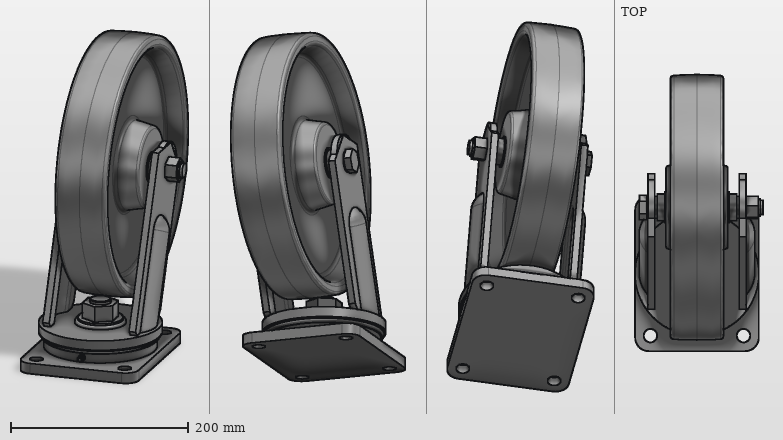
import cadquery as cq
import math


plate_width = 140.0
plate_length = 175.0
plate_thickness = 12.5
plate_corner_radius = 15.5
plate_hole_diameter = 15.0
plate_hole_spacing_x = 105.0
plate_hole_spacing_y = 140.0

raceway_radius = 64.3
raceway_top = 23.5
seal_top_radius = 67.8
seal_bottom_radius = 65.5
seal_bulge_radius = 67.5
seal_lip_radius = 69.0
seal_lip_height = 1.5
seal_top = 29.0

nipple_height = 18.0
nipple_collar_diameter = 7
nipple_collar_tip = 66.7
nipple_neck_diameter = 4.3
nipple_head_diameter = 6.0
nipple_head_length = 4.5
nipple_head_chamfer = 1.0
nipple_tip = 73.5

disc_radius = 70.0
disc_top = 40.5

king_collar_diameter = 58.2
king_collar_height = 4.0
king_collar_fillet = 3.0
king_washer_diameter = 51.5
king_washer_height = 2.0
king_nut_flats = 36.0
king_nut_height = 18.0
king_bolt_diameter = 24.0
king_bolt_chamfer = 0.9
king_bolt_end = 68.5

overall_height = 355
wheel_diameter = 300.0
wheel_radius = wheel_diameter / 2
axle_y = 75.0
axle_z = overall_height - wheel_radius
axle_diameter = 16.5

leg_inner_x = 47.5
leg_thickness = 7.8
leg_outer_x = leg_inner_x + leg_thickness
leg_tilt = 23.5
leg_half_width = 40.0
leg_foot_y = 1.5
leg_top = 233.5
leg_shoulder_z = 196.3
leg_nose_y = 85.5
leg_foot_chamfer_height = 5.7
leg_foot_front_inset = 5.0
leg_foot_back_inset = 7.5

boss_diameter = 62.0
boss_thickness = 7.5

rib_outer_x = 65.3
rib_radius = 32
rib_wall = leg_thickness
rib_dome_z = 140.0
rib_dome_length = 26.0
rib_mouth_fillet = 7

bolt_hex_flats = 24.0
bolt_head_height = 8.5
bolt_flange_height = 1.0
axle_nut_height = 14.0
axle_nut_rotation = 23.5
nut_collar_diameter = 20.0
nut_collar_height = 2.0
axle_end_x = 74.5

tread_width = 60.0
tread_half_width = tread_width / 2
tread_crown = 1.5
tread_fillet = 4.0
rim_edge_radius = 136.0
rim_root_radius = 126.5
rim_fillet = 5.0
web_half_thickness = 7.8
hub_width = 70.0
hub_half_width = hub_width / 2
hub_end_radius = 46.5
hub_root_radius = 52.2
hub_root_fillet = 5.0
hub_end_fillet = 3.2
shoulder_diameter = 35.0
shoulder_end_x = 36.2
spacer_diameter = 30.0
spacer_end_x = 45.0
spacer_tip_diameter = 25


def rod_z(diameter, bottom, top):
    """Round rod on the swivel axis."""
    return cq.Workplane("XY").workplane(offset=bottom).circle(diameter / 2).extrude(top - bottom)


def rod_x(diameter, start, end):
    """Round rod on the wheel axle."""
    return cq.Workplane("YZ", origin=(start, axle_y, axle_z)).circle(diameter / 2).extrude(end - start)


def hexagon_corner_diameter(flats):
    """Diameter across the corners of a hexagon, from its width across the flats."""
    return flats / math.cos(math.radians(30))


def hexagon_x(flats, start, length, rotation=0.0):
    """Hexagonal prism on the wheel axle, with two corners on the Y direction before rotation."""
    plane = cq.Workplane("YZ", origin=(start, axle_y, axle_z)).transformed(rotate=(0, 0, rotation))
    return plane.polygon(6, hexagon_corner_diameter(flats)).extrude(length)


def mirrored_pair(shape):
    """The shape joined with its mirror image across the YZ plane."""
    return shape.union(shape.mirror("YZ"))


def make_seal():
    """Ring between the raceway and the fork, with a rounded flank under a thin lip."""
    lip_bottom = seal_top - seal_lip_height
    middle = (raceway_top + lip_bottom) / 2
    profile = cq.Workplane("XZ").moveTo(0, raceway_top).lineTo(seal_bottom_radius, raceway_top)
    profile = profile.threePointArc((seal_bulge_radius, middle), (seal_top_radius, lip_bottom))
    seal = profile.lineTo(0, lip_bottom).close().revolve(360, (0, 0, 0), (0, 1, 0))
    return seal.union(rod_z(2 * seal_lip_radius, lip_bottom, seal_top))


def make_nipple():
    """Stepped grease nipple pointing to -Y."""
    axis = cq.Workplane("XZ", origin=(0, 0, nipple_height))
    collar = axis.circle(nipple_collar_diameter / 2).extrude(nipple_collar_tip)
    neck = axis.circle(nipple_neck_diameter / 2).extrude(nipple_tip)
    head = axis.workplane(offset=nipple_tip - nipple_head_length)
    head = head.circle(nipple_head_diameter / 2).extrude(nipple_head_length)
    head = head.faces("<Y").edges().chamfer(nipple_head_chamfer)
    return collar.union(neck).union(head)


def make_base():
    """Mounting plate with its raceway, seal and grease nipple."""
    plate = cq.Workplane("XY").box(plate_width, plate_length, plate_thickness, centered=(True, True, False))
    plate = plate.edges("|Z").fillet(plate_corner_radius)
    holes = cq.Workplane("XY").rarray(plate_hole_spacing_x, plate_hole_spacing_y, 2, 2)
    plate = plate.cut(holes.circle(plate_hole_diameter / 2).extrude(plate_thickness))

    raceway = rod_z(2 * raceway_radius, plate_thickness, raceway_top)
    return plate.union(raceway).union(make_seal()).union(make_nipple())


def make_king_bolt():
    """Collar, washer, nut and bolt end on top of the swivel disc."""
    collar_top = disc_top + king_collar_height
    washer_top = collar_top + king_washer_height
    collar = rod_z(king_collar_diameter, disc_top, collar_top).faces(">Z").edges().fillet(king_collar_fillet)
    washer = rod_z(king_washer_diameter, collar_top, washer_top)
    nut = cq.Workplane("XY").workplane(offset=washer_top).transformed(rotate=(0, 0, 90))
    nut = nut.polygon(6, hexagon_corner_diameter(king_nut_flats)).extrude(king_nut_height)
    bolt = rod_z(king_bolt_diameter, washer_top, king_bolt_end).faces(">Z").edges().chamfer(king_bolt_chamfer)
    return collar.union(washer).union(nut).union(bolt)


def leg_centre_y(z):
    """Y of the tilted centre line of a leg at height z."""
    return leg_foot_y + (z - disc_top) * math.tan(math.radians(leg_tilt))


def rib_solid(inset):
    """Tilted round bar with a domed upper end, shrunk by an inset; it starts below the disc's top."""
    radius = rib_radius - inset
    dome_length = rib_dome_length - inset
    tilt = math.radians(leg_tilt)
    foot_length = (rib_dome_z - seal_top) / math.cos(tilt)
    dome_centre = (rib_outer_x - rib_radius, leg_centre_y(rib_dome_z), rib_dome_z)
    plane = cq.Plane(dome_centre, xDir=(1, 0, 0), normal=(0, -math.cos(tilt), math.sin(tilt)))
    profile = cq.Workplane(plane).moveTo(0, -foot_length).lineTo(radius, -foot_length).lineTo(radius, 0)
    profile = profile.ellipseArc(radius, dome_length, 0, 90, sense=1).close()
    return profile.revolve(360, (0, 0, 0), (0, 1, 0))


def is_mouth_edge(edge):
    """Whether an edge of the leg's inner face bounds the hollow of the rib."""
    centre = edge.Center()
    beside_axis = abs(centre.y - leg_centre_y(centre.z)) < rib_radius
    return beside_axis and disc_top + leg_foot_chamfer_height < centre.z < rib_dome_z + rib_dome_length


def make_leg():
    """The +X leg: a tilted plate with an axle boss and a hollow pressed rib."""
    edge_offset = leg_half_width / math.cos(math.radians(leg_tilt))
    chamfer_z = disc_top + leg_foot_chamfer_height
    foot_front_y = leg_centre_y(chamfer_z) - edge_offset
    foot_back_y = leg_centre_y(chamfer_z) + edge_offset
    outline = [
        (foot_front_y + leg_foot_front_inset, disc_top),
        (foot_front_y, chamfer_z),
        (leg_centre_y(leg_top) - edge_offset, leg_top),
        (leg_nose_y, leg_top),
        (leg_centre_y(leg_shoulder_z) + edge_offset, leg_shoulder_z),
        (foot_back_y, chamfer_z),
        (foot_back_y - leg_foot_back_inset, disc_top),
    ]
    plate = cq.Workplane("YZ", origin=(leg_inner_x, 0, 0)).polyline(outline).close().extrude(leg_thickness)
    boss = rod_x(boss_diameter, leg_inner_x, leg_inner_x + boss_thickness)

    rib_space = cq.Workplane("XY", origin=(leg_inner_x, 0, disc_top))
    rib_space = rib_space.box(rib_radius, 2 * wheel_radius, wheel_radius, centered=(False, True, False))
    rib = rib_solid(0).intersect(rib_space)
    hollow = rib_solid(rib_wall).intersect(rib_space)
    leg = plate.union(rib).cut(hollow)

    mouth = [edge for edge in leg.faces("<X").edges().vals() if is_mouth_edge(edge)]
    return leg.newObject(mouth).fillet(rib_mouth_fillet).union(boss)


def make_axle():
    """Axle bolt through the wheel, with its head at -X and its nut at +X."""
    nut_end_x = leg_outer_x + axle_nut_height
    axle = rod_x(axle_diameter, -leg_outer_x, axle_end_x)
    flange_end_x = -leg_outer_x - bolt_flange_height
    flange = rod_x(bolt_hex_flats, flange_end_x, -leg_outer_x)
    head = hexagon_x(bolt_hex_flats, flange_end_x - bolt_head_height, bolt_head_height)
    nut = hexagon_x(bolt_hex_flats, leg_outer_x, axle_nut_height, axle_nut_rotation)
    collar = rod_x(nut_collar_diameter, nut_end_x, nut_end_x + nut_collar_height)
    return axle.union(flange).union(head).union(nut).union(collar)


def make_fork():
    """Swivel disc with both legs, the king bolt and the axle."""
    disc = rod_z(2 * disc_radius, seal_top, disc_top)
    return disc.union(mirrored_pair(make_leg())).union(make_king_bolt()).union(make_axle())


def is_ring(edge, x, radius):
    """Whether an edge is the full circle at this x and radius around the axle."""
    tolerance = 0.0005
    same_place = abs(edge.Center().x - x) < tolerance
    return edge.geomType() == "CIRCLE" and same_place and abs(edge.radius() - radius) < tolerance


def fillet_ring(shape, x, radius, fillet):
    """Round the circular edge at this x and radius."""
    rings = [edge for edge in shape.edges().vals() if is_ring(edge, x, radius)]
    return shape.newObject(rings).fillet(fillet)


def make_wheel():
    """Wheel with crowned tread, thin web, hub and stepped spacers, bored for the axle."""
    tread_edge_radius = wheel_radius - tread_crown
    profile = cq.Workplane("XY").moveTo(0, wheel_radius)
    profile = profile.threePointArc(
        (tread_half_width / 2, wheel_radius - tread_crown / 4),
        (tread_half_width, tread_edge_radius),
    )
    profile = profile.lineTo(tread_half_width, rim_edge_radius)
    profile = profile.lineTo(web_half_thickness, rim_root_radius)
    profile = profile.lineTo(web_half_thickness, hub_root_radius)
    profile = profile.lineTo(hub_half_width, hub_end_radius)
    profile = profile.lineTo(hub_half_width, 0).lineTo(0, 0).close()
    half = profile.revolve(360, (0, 0, 0), (1, 0, 0)).translate((0, axle_y, axle_z))

    half = fillet_ring(half, tread_half_width, tread_edge_radius, tread_fillet)
    half = fillet_ring(half, tread_half_width, rim_edge_radius, rim_fillet)
    half = fillet_ring(half, web_half_thickness, rim_root_radius, rim_fillet)
    half = fillet_ring(half, web_half_thickness, hub_root_radius, hub_root_fillet)
    half = fillet_ring(half, hub_half_width, hub_end_radius, hub_end_fillet)

    shoulder = rod_x(shoulder_diameter, hub_half_width, shoulder_end_x)
    spacer = rod_x(spacer_diameter, shoulder_end_x, spacer_end_x)
    spacer_tip = rod_x(spacer_tip_diameter, spacer_end_x, leg_inner_x)
    wheel = mirrored_pair(half.union(shoulder).union(spacer).union(spacer_tip))
    return wheel.cut(rod_x(axle_diameter, -leg_inner_x, leg_inner_x))


base = make_base()
fork = make_fork()
wheel = make_wheel()
result = cq.Compound.makeCompound([base.val(), fork.val(), wheel.val()])